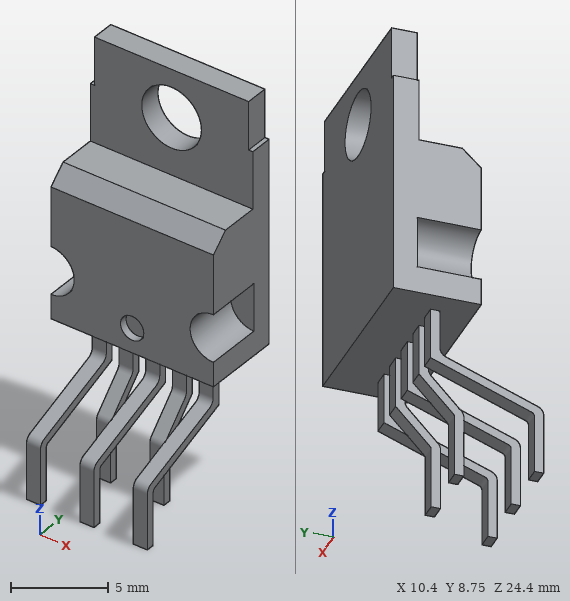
import cadquery as cq
import math

total_height = 24.4
body_width = 10.4
body_depth = 4.83
body_bottom = 8.56
body_top = 17.79
chamfer_depth = 1.05
chamfer_height = 0.98

tab_thickness = 1.42
tab_width = 9.85
tab_shoulder = 21.37
tab_hole_diameter = 3.8

notch_radius = 1.5
notch_floor = 1.32
notch_height = 11.6
dimple_diameter = 1.5
dimple_depth = 0.5

lead_width = 0.9
lead_thickness = 0.51
lead_pitch = 1.7
lead_count = 5
lead_back = 2.54
lead_embed = 0.5
upper_back_corner = 5.64
lower_bend_center = 3.65
bend_radius = 0.51
inner_bend_radius = 0.25
slope_passes = 20
long_reach = 8.75
short_reach = 5.0


def box(width, depth, bottom, top):
    """Block centred on X whose back face is at Y = 0."""
    block = cq.Workplane("XY").box(width, depth, top - bottom, centered=(True, False, False))
    return block.translate((0, -depth, bottom))


def front_cylinder(x, z, radius, start, end):
    """Cylinder along -Y between two distances from the back face."""
    return cq.Workplane("XZ", origin=(0, -start, 0)).center(x, z).circle(radius).extrude(end - start)


def make_body():
    profile = [
        (0, body_bottom),
        (-body_depth, body_bottom),
        (-body_depth, body_top - chamfer_height),
        (-body_depth + chamfer_depth, body_top),
        (0, body_top),
    ]
    body = cq.Workplane("YZ").polyline(profile).close().extrude(body_width / 2, both=True)
    for side in (-1, 1):
        x = side * body_width / 2
        body = body.cut(front_cylinder(x, notch_height, notch_radius, notch_floor, body_depth))
    dimple_height = notch_height - notch_radius
    dimple_floor = body_depth - dimple_depth
    return body.cut(front_cylinder(0, dimple_height, dimple_diameter / 2, dimple_floor, body_depth))


def make_tab():
    lower_tab = box(body_width, tab_thickness, body_top, tab_shoulder)
    upper_tab = box(tab_width, tab_thickness, tab_shoulder, total_height)
    hole = front_cylinder(0, tab_shoulder, tab_hole_diameter / 2, 0, tab_thickness)
    return lower_tab.union(upper_tab).cut(hole)


def make_lead(x, reach):
    """Flat lead running down, sloping forward and then down to its tip."""
    lead_front = lead_back + lead_thickness
    run = reach - lead_front
    half = lead_thickness / 2
    corner_offset = 0
    for _ in range(slope_passes):
        drop = upper_back_corner + corner_offset - lower_bend_center
        bend_angle = math.atan2(run, drop)
        corner_offset = half * math.tan(bend_angle / 2)
    top = body_bottom + lead_embed
    upper_front_corner = upper_back_corner + 2 * corner_offset
    lower_front_corner = lower_bend_center + corner_offset
    lower_back_corner = lower_bend_center - corner_offset
    outline = [
        (-lead_back, top),
        (-lead_back, upper_back_corner),
        (-reach + lead_thickness, lower_back_corner),
        (-reach + lead_thickness, 0),
        (-reach, 0),
        (-reach, lower_front_corner),
        (-lead_front, upper_front_corner),
        (-lead_front, top),
    ]
    lead = cq.Workplane("YZ").polyline(outline).close().extrude(lead_width / 2, both=True)

    def round_bend(solid, y, z, radius):
        return solid.edges(cq.selectors.NearestToPointSelector((0, y, z))).fillet(radius)

    lead = round_bend(lead, -lead_front, upper_front_corner, bend_radius)
    lead = round_bend(lead, -reach, lower_front_corner, bend_radius)
    lead = round_bend(lead, -reach + lead_thickness, lower_back_corner, inner_bend_radius)
    return lead.translate((x, 0, 0))


result = make_body().union(make_tab())
for index in range(lead_count):
    lead_x = (index - (lead_count - 1) / 2) * lead_pitch
    lead_reach = long_reach if index % 2 == 0 else short_reach
    result = result.union(make_lead(lead_x, lead_reach))